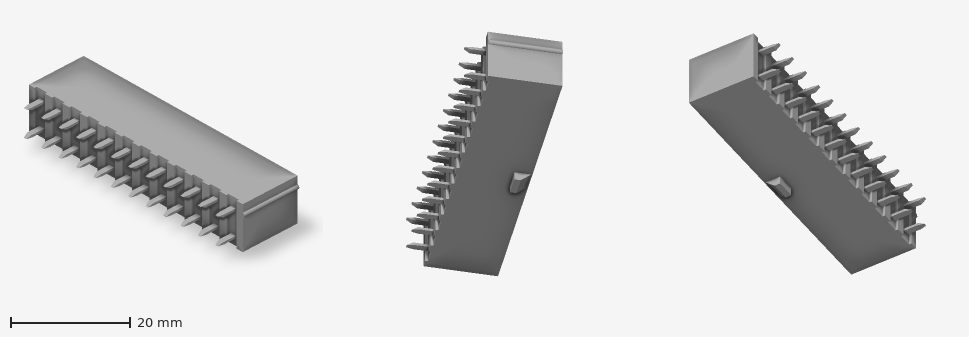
import cadquery as cq

PITCH = 4.2
CONTACTS_PER_ROW = 12
HOUSING_LENGTH = 51.6
HOUSING_DEPTH = 12.8
HOUSING_HEIGHT = 9.55

CHANNEL_WIDTH = 2.5
CHANNEL_DEPTH = 0.5

PIN_WIDTH = 1.15
PIN_THICKNESS = 0.5
PIN_PROTRUSION = 3.5
PIN_TIP_WIDTH = 0.6
SIDE_TAPER_LENGTH = 1.2
BEVEL_LENGTH = 1.0
ROW_SPACING = 5.45
UPPER_ROW_DROP = 2.25
UPPER_ROW_Z = HOUSING_HEIGHT - UPPER_ROW_DROP
LOWER_ROW_Z = UPPER_ROW_Z - ROW_SPACING

LATCH_WIDTH = 3.5
LATCH_HEIGHT = 1.55
LATCH_BACK_INSET = 0.2
LATCH_RAMP_END = 2.0
LATCH_FRONT = 3.1

RIB_RADIUS = 0.5
RIB_PROTRUSION = 0.4
RIB_DROP = 2.2
RIB_Z = HOUSING_HEIGHT - RIB_DROP

COLUMN_XS = [(i - (CONTACTS_PER_ROW - 1) / 2) * PITCH for i in range(CONTACTS_PER_ROW)]


def block(width, depth, height, x_center, y_start, z_start):
    """Box centred on x_center, growing toward +Y and +Z from its start values."""
    box = cq.Workplane("XY").box(width, depth, height, centered=(True, False, False))
    return box.translate((x_center, y_start, z_start))


def make_housing():
    housing = block(HOUSING_LENGTH, HOUSING_DEPTH, HOUSING_HEIGHT, 0, 0, 0)
    for x in COLUMN_XS:
        housing = housing.cut(block(CHANNEL_WIDTH, CHANNEL_DEPTH, HOUSING_HEIGHT, x, 0, 0))
    return housing


def make_pin(outward):
    """Pin centred on X = Z = 0; its sharp edge lies on the +Z (outward=1) or -Z (outward=-1) face."""
    tip_y = -PIN_PROTRUSION
    root_y = CHANNEL_DEPTH
    half_width = PIN_WIDTH / 2
    half_tip = PIN_TIP_WIDTH / 2
    half_thickness = PIN_THICKNESS / 2
    taper_y = tip_y + SIDE_TAPER_LENGTH

    plan = (
        cq.Workplane("XY")
        .polyline([
            (-half_width, root_y),
            (-half_width, taper_y),
            (-half_tip, tip_y),
            (half_tip, tip_y),
            (half_width, taper_y),
            (half_width, root_y),
        ])
        .close()
        .extrude(half_thickness, both=True)
    )
    profile = (
        cq.Workplane("YZ")
        .polyline([
            (root_y, outward * half_thickness),
            (tip_y, outward * half_thickness),
            (tip_y + BEVEL_LENGTH, -outward * half_thickness),
            (root_y, -outward * half_thickness),
        ])
        .close()
        .extrude(half_width, both=True)
    )
    return plan.intersect(profile)


def make_latch():
    return (
        cq.Workplane("YZ")
        .polyline([
            (HOUSING_DEPTH - LATCH_BACK_INSET, 0),
            (HOUSING_DEPTH - LATCH_RAMP_END, -LATCH_HEIGHT),
            (HOUSING_DEPTH - LATCH_FRONT, -LATCH_HEIGHT),
            (HOUSING_DEPTH - LATCH_FRONT, 0),
        ])
        .close()
        .extrude(LATCH_WIDTH / 2, both=True)
    )


def make_rib():
    """Round bar through the full depth; its inner part merges into the housing."""
    bar = cq.Workplane("XZ").circle(RIB_RADIUS).extrude(-HOUSING_DEPTH)
    return bar.translate((HOUSING_LENGTH / 2 + RIB_PROTRUSION - RIB_RADIUS, 0, RIB_Z))


result = make_housing().union(make_latch()).union(make_rib())
for row_z, outward in ((UPPER_ROW_Z, 1), (LOWER_ROW_Z, -1)):
    pin = make_pin(outward)
    for x in COLUMN_XS:
        result = result.union(pin.translate((x, 0, row_z)))